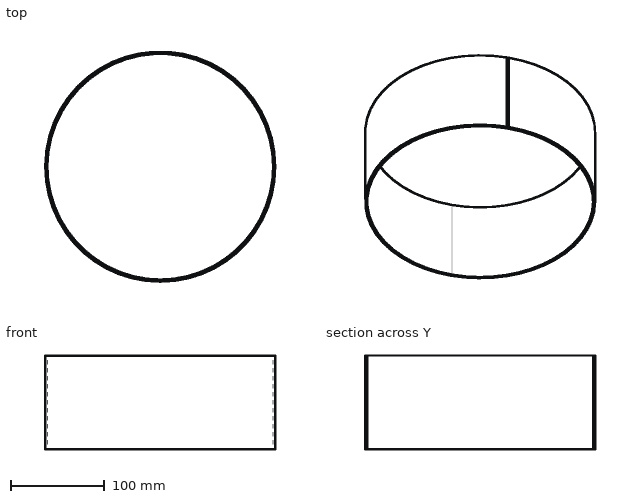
import cadquery as cq

OUTER_DIAMETER = 245.0
WALL_THICKNESS = 2.5
HEIGHT = 100.0
OUTER_CHAMFER = 0.5
INNER_CHAMFER = 0.2
SLIT_WIDTH = 2.1

OUTER_RADIUS = OUTER_DIAMETER / 2
INNER_RADIUS = OUTER_RADIUS - WALL_THICKNESS


def band():
    """Wall profile with chamfered rim corners, revolved about the Z axis."""
    profile = [
        (INNER_RADIUS, INNER_CHAMFER),
        (INNER_RADIUS + INNER_CHAMFER, 0),
        (OUTER_RADIUS - OUTER_CHAMFER, 0),
        (OUTER_RADIUS, OUTER_CHAMFER),
        (OUTER_RADIUS, HEIGHT - OUTER_CHAMFER),
        (OUTER_RADIUS - OUTER_CHAMFER, HEIGHT),
        (INNER_RADIUS + INNER_CHAMFER, HEIGHT),
        (INNER_RADIUS, HEIGHT - INNER_CHAMFER),
    ]
    return cq.Workplane("XZ").polyline(profile).close().revolve(axisStart=(0, 0, 0), axisEnd=(0, 1, 0))


def slit():
    """Block that opens the wall over its full height on the -X side, from Y = 0 towards +Y."""
    block = cq.Workplane("XY").box(OUTER_RADIUS, SLIT_WIDTH, HEIGHT, centered=(True, False, False))
    return block.translate((-OUTER_RADIUS, 0, 0))


result = band().cut(slit())